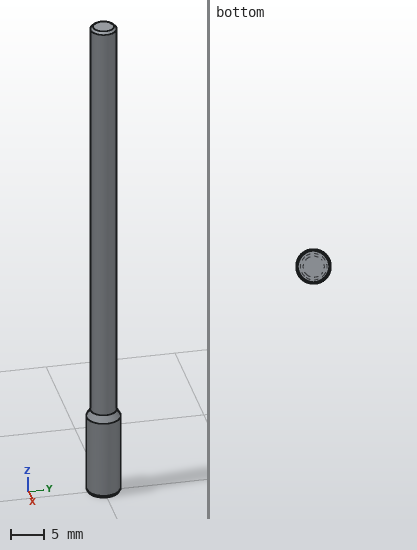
import cadquery as cq

total_length = 80.0
shank_diameter = 4.0
head_diameter = 5.3
head_straight_top = 12.9
shoulder_height = 1.1
tip_chamfer = 0.4
base_bevel_height = 0.5
base_bevel_inset = 0.28

shank_radius = shank_diameter / 2
head_radius = head_diameter / 2
head_top = head_straight_top + shoulder_height


def make_head():
    """Thick lower body with a steep bevel at its base and a cone on top."""
    profile = (
        cq.Workplane("XZ")
        .lineTo(head_radius - base_bevel_inset, 0)
        .lineTo(head_radius, base_bevel_height)
        .lineTo(head_radius, head_straight_top)
        .lineTo(shank_radius, head_top)
        .lineTo(0, head_top)
        .close()
    )
    return profile.revolve(360, (0, 0), (0, 1))


def make_shank():
    """Long plain rod standing on the head, chamfered at its free end."""
    rod = cq.Workplane("XY", origin=(0, 0, head_top))
    rod = rod.circle(shank_radius).extrude(total_length - head_top)
    return rod.faces(">Z").chamfer(tip_chamfer)


head = make_head()
shank = make_shank()

result = cq.Compound.makeCompound([head.val(), shank.val()])